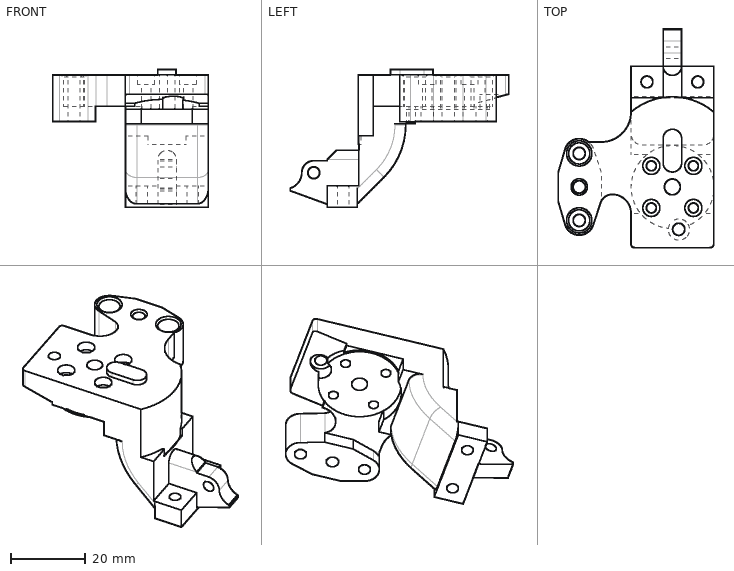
import cadquery as cq
import math


half_width = 11.15
front_y = -16.36
plate_depth = 8.5
front_edge_depth = 5.2
underside_slope = math.radians(14.8)
corner_radius = 1.0
back_arc_radius = 17.3
back_arc_peak_y = 24.22
back_arc_center_y = back_arc_peak_y - back_arc_radius

ear_x = -25.05
ear_depth = 12.6
ear_hole_y = 9.0
ear_end_radius = 4.0
ear_left_x = -30.71
ear_right_x = -19.18
ear_flank_y = 4.0
ear_hole_diameter = 3.2
ear_bore_diameter = 5.7
ear_bore_depth = 8.5
ear_bore_chamfer = 0.55
ear_mid_hole_diameter = 3.3
ear_mid_hole_chamfer = 0.55

bridge_back_y = 12.1
bridge_back_radius = 8.0
bridge_front_y = -2.04
bridge_front_radius = 5.0
bridge_front_peak_x = -half_width - bridge_front_radius
bridge_front_end_y = bridge_front_y - bridge_front_radius
slope_end_y = bridge_front_end_y

seat_radius = 11.15
seat_z = -9.2
motor_hole_diameter = 4.2
screw_circle_radius = 8.0
screw_hole_diameter = 2.6
screw_bore_diameter = 4.6
screw_bore_depth = 2.6
extra_hole_xy = (1.7, -11.4)
extra_hole_diameter = 3.2
extra_bore_diameter = 5.7
extra_bore_top_z = -5.2

key_width = 5.0
key_front_y = 4.0
key_back_y = 15.5
key_height = 1.5

leg_back_y = 24.0
collar_front_y = 8.84
collar_bottom_z = -13.1
motor_clearance_radius = 11.2
leg_front_y = 11.34
leg_arc_top_z = -13.4
leg_arc_radius = 20.0
leg_corner_radius = 3.0
side_ledge_z = -16.35
middle_ledge_z = -18.7
middle_ledge_half_width = 5.1

foot_front_y = 24.36
foot_back_y = 32.5
foot_top_z = -29.85
foot_bottom_z = -35.67
foot_hole_x = 6.83
foot_hole_y = 28.23
foot_hole_diameter = 3.1
lug_width = 5.0
lug_hole_y = 36.12
lug_hole_z = -26.33
lug_hole_diameter = 3.1
lug_radius = 3.25
lug_neck_radius = 4.33
lug_tip_y = 42.48
lug_tip_top_z = -30.6
lug_tip_bottom_z = -31.2
lug_tip_bevel = 0.2
lug_bottom_slope = math.radians(20)
rib_axis_z = -22.75

overlap = 1.0


def box(x_range, y_range, z_range):
    """Box from its limits along each axis."""
    size = [high - low for low, high in (x_range, y_range, z_range)]
    corner = (x_range[0], y_range[0], z_range[0])
    return cq.Workplane("XY").box(*size, centered=False).translate(corner)


def cylinder(x, y, diameter, z_top, z_bottom):
    """Vertical cylinder between two heights."""
    return (
        cq.Workplane("XY", origin=(x, y, z_bottom))
        .circle(diameter / 2)
        .extrude(z_top - z_bottom)
    )


def side_profile(width):
    """Workplane of (Y, Z) outlines whose extrusion is centred on X = 0."""
    return cq.Workplane("YZ", origin=(-width / 2, 0, 0))


def ear_tangent_point(flank_x):
    """Point where a line from the front end of a flank touches the ear's front end circle."""
    dx = flank_x - ear_x
    dy = ear_hole_y - ear_flank_y
    distance = math.hypot(dx, dy)
    angle = math.atan2(dy, dx)
    turn = math.acos(ear_end_radius / distance)
    touch = angle - math.copysign(turn, dx)
    return (
        ear_x + ear_end_radius * math.cos(touch),
        -ear_hole_y + ear_end_radius * math.sin(touch),
    )


def make_ear():
    left_touch_x, left_touch_y = ear_tangent_point(ear_left_x)
    right_touch_x, right_touch_y = ear_tangent_point(ear_right_x)
    tip_y = ear_hole_y + ear_end_radius
    return (
        cq.Workplane("XY")
        .moveTo(ear_left_x, -ear_flank_y)
        .lineTo(left_touch_x, left_touch_y)
        .threePointArc((ear_x, -tip_y), (right_touch_x, right_touch_y))
        .lineTo(ear_right_x, -ear_flank_y)
        .lineTo(ear_right_x, ear_flank_y)
        .lineTo(right_touch_x, -right_touch_y)
        .threePointArc((ear_x, tip_y), (left_touch_x, -left_touch_y))
        .lineTo(ear_left_x, ear_flank_y)
        .close()
        .extrude(-ear_depth)
    )


def make_bridge():
    """Web from the ear to the plate, with a concave curve on each side."""
    back_arc_start_x = -half_width - bridge_back_radius
    back_arc_mid = (
        back_arc_start_x + bridge_back_radius * math.sin(math.pi / 4),
        bridge_back_y + bridge_back_radius * (1 - math.cos(math.pi / 4)),
    )
    front_arc_mid = (
        bridge_front_peak_x + bridge_front_radius * math.sin(math.pi / 4),
        bridge_front_y - bridge_front_radius * (1 - math.cos(math.pi / 4)),
    )
    return (
        cq.Workplane("XY")
        .moveTo(ear_x, bridge_back_y)
        .lineTo(back_arc_start_x, bridge_back_y)
        .threePointArc(back_arc_mid, (-half_width, bridge_back_y + bridge_back_radius))
        .lineTo(-half_width + overlap, bridge_back_y + bridge_back_radius)
        .lineTo(-half_width + overlap, bridge_front_end_y)
        .lineTo(-half_width, bridge_front_end_y)
        .threePointArc(front_arc_mid, (bridge_front_peak_x, bridge_front_y))
        .tangentArcPoint((ear_right_x, -ear_flank_y), relative=False)
        .lineTo(ear_x, -ear_flank_y)
        .close()
        .extrude(-plate_depth)
    )


def make_plate():
    """Plate with a square back end and an underside that rises toward the front edge."""
    plate = (
        box((-half_width, half_width), (front_y, back_arc_peak_y), (-plate_depth, 0))
        .edges("|Z and <Y")
        .fillet(corner_radius)
    )
    slope_end_z = -front_edge_depth - (slope_end_y - front_y) * math.tan(underside_slope)
    relief = (
        side_profile(2 * half_width)
        .polyline([
            (front_y, -front_edge_depth),
            (slope_end_y, slope_end_z),
            (slope_end_y, -plate_depth),
            (front_y, -plate_depth),
        ])
        .close()
        .extrude(2 * half_width)
    )
    return plate.cut(relief)


def make_motor_seat():
    """Round seat below the plate, as wide as the plate."""
    return cylinder(0, 0, 2 * seat_radius, -front_edge_depth, seat_z)


def make_key():
    return (
        cq.Workplane("XY", origin=(0, (key_front_y + key_back_y) / 2, 0))
        .slot2D(key_back_y - key_front_y, key_width, 90)
        .extrude(key_height)
    )


def make_leg_and_foot():
    """Leg that curves back to a 45 degree slope and ends in the flat foot."""
    bend = math.pi / 4
    arc_center_y = leg_front_y + leg_arc_radius
    arc_end_y = arc_center_y - leg_arc_radius * math.cos(bend)
    arc_end_z = leg_arc_top_z - leg_arc_radius * math.sin(bend)
    arc_mid = (
        arc_center_y - leg_arc_radius * math.cos(bend / 2),
        leg_arc_top_z - leg_arc_radius * math.sin(bend / 2),
    )
    slope_bottom_z = arc_end_z - (foot_front_y - arc_end_y)
    leg = (
        side_profile(2 * half_width)
        .moveTo(leg_front_y, -plate_depth)
        .lineTo(leg_front_y, leg_arc_top_z)
        .threePointArc(arc_mid, (arc_end_y, arc_end_z))
        .lineTo(foot_front_y, slope_bottom_z)
        .lineTo(foot_front_y, foot_bottom_z)
        .lineTo(foot_back_y, foot_bottom_z)
        .lineTo(foot_back_y, foot_top_z)
        .lineTo(leg_back_y, foot_top_z)
        .lineTo(leg_back_y, -plate_depth)
        .close()
        .extrude(2 * half_width)
    )
    for x in (-half_width, half_width):
        curved_edge = cq.selectors.NearestToPointSelector((x, *arc_mid))
        leg = leg.edges(curved_edge).fillet(leg_corner_radius)
    return leg


def make_collar():
    """Block behind the motor, hollowed to clear the motor's round body."""
    collar = box(
        (-half_width, half_width),
        (collar_front_y, leg_back_y),
        (collar_bottom_z, -plate_depth),
    )
    return collar.cut(cylinder(0, 0, 2 * motor_clearance_radius, seat_z, collar_bottom_z))


def make_back_rim():
    """Stock for the part of the round back edge that stands proud of the leg."""
    return box(
        (-middle_ledge_half_width, middle_ledge_half_width),
        (leg_back_y - overlap, back_arc_peak_y),
        (middle_ledge_z, -plate_depth),
    )


def cut_back_arc(body):
    """Round the back edge of plate and leg down to a ledge that is deeper in the middle."""
    for half_span, ledge_z in (
        (half_width, side_ledge_z),
        (middle_ledge_half_width, middle_ledge_z),
    ):
        strip = box((-half_span, half_span), (back_arc_center_y, foot_back_y), (ledge_z, 0))
        round_back = cylinder(0, back_arc_center_y, 2 * back_arc_radius, key_height, ledge_z)
        body = body.cut(strip.cut(round_back))
    return body


def make_lug():
    """Hook-shaped lug behind the foot."""
    top_z = lug_hole_z + lug_radius
    nose_y = lug_hole_y + lug_radius
    diagonal = lug_radius * math.sqrt(0.5)
    neck_end_y = lug_tip_y - lug_tip_bevel
    neck_end_z = lug_tip_top_z + lug_tip_bevel
    bottom_z = lug_tip_bottom_z - (lug_tip_y - foot_back_y) * math.tan(lug_bottom_slope)
    return (
        side_profile(lug_width)
        .moveTo(leg_back_y - overlap, rib_axis_z)
        .lineTo(foot_back_y, rib_axis_z)
        .lineTo(foot_back_y, top_z)
        .lineTo(lug_hole_y, top_z)
        .threePointArc((lug_hole_y + diagonal, lug_hole_z + diagonal), (nose_y, lug_hole_z))
        .radiusArc((neck_end_y, neck_end_z), -lug_neck_radius)
        .lineTo(lug_tip_y, lug_tip_top_z)
        .lineTo(lug_tip_y, lug_tip_bottom_z)
        .lineTo(foot_back_y, bottom_z)
        .lineTo(foot_front_y + overlap, bottom_z)
        .lineTo(foot_front_y + overlap, foot_top_z)
        .lineTo(leg_back_y - overlap, foot_top_z)
        .close()
        .extrude(lug_width)
    )


def make_rib():
    """Round-topped rib on the lug, its back end cut at 45 degrees."""
    rib_radius = lug_width / 2
    start_y = leg_back_y - overlap
    length = foot_back_y - start_y
    top = (
        cq.Workplane("XZ", origin=(0, foot_back_y, rib_axis_z))
        .circle(rib_radius)
        .extrude(length)
    )
    bevel = (
        side_profile(lug_width)
        .polyline([
            (foot_back_y, rib_axis_z),
            (foot_back_y, rib_axis_z + rib_radius),
            (foot_back_y - rib_radius, rib_axis_z + rib_radius),
        ])
        .close()
        .extrude(lug_width)
    )
    return top.cut(bevel)


def countersink(x, y, diameter, chamfer):
    """Cone that chamfers the top rim of a hole."""
    return (
        cq.Workplane("XY", origin=(x, y, 0))
        .circle(diameter / 2 + chamfer)
        .extrude(-chamfer, taper=45)
    )


def cut_plate_holes(body):
    body = body.cut(cylinder(0, 0, motor_hole_diameter, 0, seat_z))
    body = body.cut(cylinder(*extra_hole_xy, extra_hole_diameter, 0, seat_z))
    body = body.cut(cylinder(*extra_hole_xy, extra_bore_diameter, extra_bore_top_z, seat_z))
    screw_offset = screw_circle_radius * math.sqrt(0.5)
    for x in (-screw_offset, screw_offset):
        for y in (-screw_offset, screw_offset):
            body = body.cut(cylinder(x, y, screw_hole_diameter, 0, seat_z))
            body = body.cut(cylinder(x, y, screw_bore_diameter, 0, -screw_bore_depth))
    return body


def cut_ear_holes(body):
    for y in (-ear_hole_y, ear_hole_y):
        body = body.cut(cylinder(ear_x, y, ear_hole_diameter, 0, -ear_depth))
        body = body.cut(cylinder(ear_x, y, ear_bore_diameter, 0, -ear_bore_depth))
        body = body.cut(countersink(ear_x, y, ear_bore_diameter, ear_bore_chamfer))
    body = body.cut(cylinder(ear_x, 0, ear_mid_hole_diameter, 0, -ear_depth))
    return body.cut(countersink(ear_x, 0, ear_mid_hole_diameter, ear_mid_hole_chamfer))


def cut_foot_and_lug_holes(body):
    for x in (-foot_hole_x, foot_hole_x):
        body = body.cut(cylinder(x, foot_hole_y, foot_hole_diameter, foot_top_z, foot_bottom_z))
    lug_hole = (
        side_profile(lug_width)
        .center(lug_hole_y, lug_hole_z)
        .circle(lug_hole_diameter / 2)
        .extrude(lug_width)
    )
    return body.cut(lug_hole)


body = make_plate()
for feature in (
    make_ear(),
    make_bridge(),
    make_motor_seat(),
    make_key(),
    make_leg_and_foot(),
    make_collar(),
    make_back_rim(),
    make_lug(),
    make_rib(),
):
    body = body.union(feature)

body = cut_back_arc(body)
body = cut_plate_holes(body)
body = cut_ear_holes(body)
body = cut_foot_and_lug_holes(body)
result = body.clean()